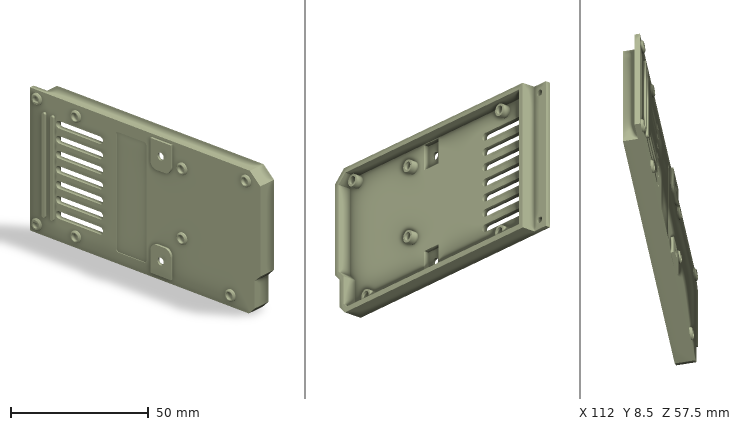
import cadquery as cq

length = 112.0
depth = 8.5
height = 57.5
mid_z = height / 2

raised = 1.0
plate_thickness = 2.0
wall = 2.0
plate_front = raised
plate_back = plate_front + plate_thickness
tray_left = 6.5

top_cut_x = 5.0
top_cut_z = 4.7
notch_width = 2.7
notch_low_z = 13.9
notch_high_z = 16.6
bottom_cut = 2.9

boss_diameter = 4.8
boss_chamfer = 0.5
mount_hole = 3.1
post_back = 6.0
mount_inset = 4.6
mount_spots = [
    (22.5, mount_inset),
    (22.5, height - mount_inset),
    (74.2, 20.0),
    (74.2, 48.1),
    (97.7, mount_inset),
    (105.2, height - mount_inset),
]

corner_x = 3.5
corner_inset = 3.6
corner_hole = 2.7
corner_flat_distance = 1.0
corner_spots = [(corner_x, corner_inset), (corner_x, height - corner_inset)]

slot_count = 7
slot_pitch = 6.0
slot_length = 23.0
slot_width = 3.0
slot_x = 24.1
rib_width = 1.6
rib_length = 42.1
rib_places_x = (7.3, 11.3)

label_width = 14.6
label_height = 48.3
label_x = 49.3
label_radius = 1.0
label_depth = 0.3

pad_width = 10.0
pad_height = 12.0
pad_radius = 3.0
pad_x = 64.4
pad_low_z = 8.1
pad_high_z = 50.2
pad_hole = 3.0
pad_pocket_inset = 1.0


def sketch_at(y, x=0.0, z=0.0):
    """Plane at depth y with local axes along +X and +Z; extrusions run forward, toward -Y."""
    return cq.Workplane(cq.Plane(origin=(x, y, z), xDir=(1, 0, 0), normal=(0, -1, 0)))


def block(x, z, width, tall, front, back):
    return sketch_at(back, x, z).rect(width, tall).extrude(back - front)


def cylinder(x, z, diameter, front, back):
    return sketch_at(back, x, z).circle(diameter / 2).extrude(back - front)


def outline(left, back):
    """Plate outline starting at X = left, with the cut corners and the notch at the right."""
    notch_x = length - notch_width
    points = [
        (left, 0),
        (notch_x - bottom_cut, 0),
        (notch_x, bottom_cut),
        (notch_x, notch_low_z),
        (length, notch_high_z),
        (length, height - top_cut_z),
        (length - top_cut_x, height),
        (left, height),
    ]
    return sketch_at(back).polyline(points).close()


def boss(x, z):
    """Front boss with a chamfered rim, rooted in the plate."""
    return cylinder(x, z, boss_diameter, 0, plate_back).faces("<Y").chamfer(boss_chamfer)


def corner_hole_cutter(x, z):
    """D-shaped through hole, flat on the side nearer the middle of the plate."""
    inward = 1 if z < mid_z else -1
    kept_z = z + inward * (corner_flat_distance - corner_hole / 2)
    kept = block(x, kept_z, corner_hole, corner_hole, 0, depth)
    return cylinder(x, z, corner_hole, 0, depth).intersect(kept)


def add_pad(part, z, rounded_end):
    """Pad with two rounded corners, a pocket behind it and a screw hole through it."""
    pad = block(pad_x, z, pad_width, pad_height, 0, plate_front)
    pad = pad.faces(rounded_end).edges("|Y").fillet(pad_radius)
    pocket_width = pad_width - 2 * pad_pocket_inset
    pocket_height = pad_height - 2 * pad_pocket_inset
    pocket = block(pad_x, z, pocket_width, pocket_height, plate_front, plate_back)
    hole = cylinder(pad_x, z, pad_hole, 0, plate_back)
    return part.union(pad).cut(pocket).cut(hole)


wall_height = depth - plate_back
tray = outline(tray_left, depth).extrude(wall_height)
cavity = outline(tray_left, depth).offset2D(-wall, "intersection").extrude(wall_height)
body = outline(0, plate_back).extrude(plate_thickness).union(tray.cut(cavity))

for x, z in mount_spots:
    post = cylinder(x, z, boss_diameter, plate_front, post_back)
    hole = cylinder(x, z, mount_hole, 0, post_back)
    body = body.union(post).union(boss(x, z)).cut(hole)
for x, z in corner_spots:
    body = body.union(boss(x, z)).cut(corner_hole_cutter(x, z))

for x in rib_places_x:
    rib = sketch_at(plate_front, x, mid_z).slot2D(rib_length, rib_width, 90).extrude(raised)
    body = body.union(rib)
for index in range(slot_count):
    z = mid_z + (index - (slot_count - 1) / 2) * slot_pitch
    slot = sketch_at(plate_back, slot_x, z).slot2D(slot_length, slot_width).extrude(plate_thickness)
    body = body.cut(slot)

label = block(label_x, mid_z, label_width, label_height, plate_front, plate_front + label_depth)
body = body.cut(label.edges("|Y").fillet(label_radius))

body = add_pad(body, pad_low_z, ">Z")
body = add_pad(body, pad_high_z, "<Z")

result = body